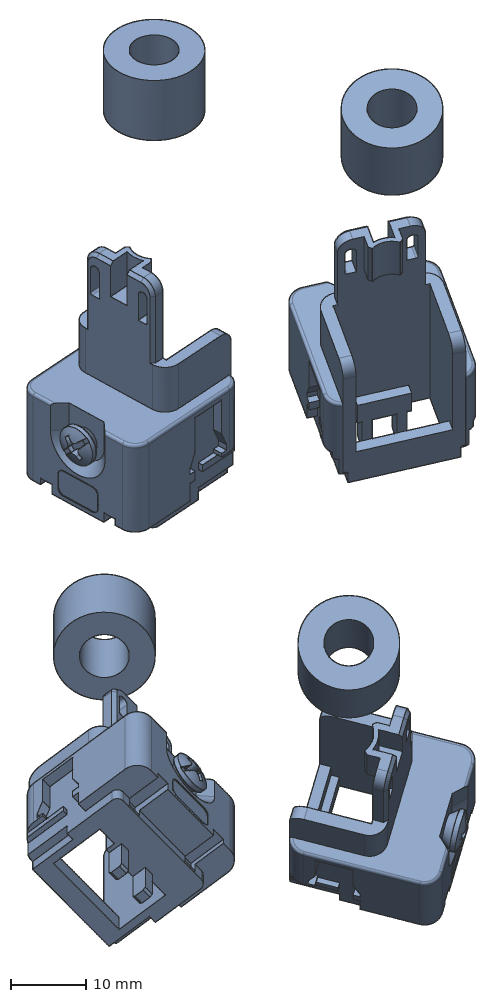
import cadquery as cq
import math


SLEEVE_RADIUS = 6.8
BORE_RADIUS = 3.3
SLEEVE_TOP = 75.25
SLEEVE_HEIGHT = 10.0

SHELL_WIDTH = 21.0
SHELL_FRONT = -15.1
BACK = 5.9
SHELL_BOTTOM = 7.9
SHELL_TOP = 22.35
CORNER_RADIUS = 2.5
TOP_ROUND = 0.45

BASE_WIDTH = 18.05
BASE_FRONT = -10.15
BASE_BOTTOM = 5.6
BASE_CORNER_RADIUS = 1.05

WINDOW_FRONT = -3.45
WINDOW_BACK = 1.8
WINDOW_TOP = 21.2
FLARE = 1.0
FLARE_START = 15.6
FLARE_END = 13.25
WINDOW_STEP = 12.35
SLOT_BOTTOM = 10.8
SIDE_REAR_BOTTOM = 11.75
RIB_FRONT = -1.2
RIB_BOTTOM = 10.6
RIB_HEIGHT = SIDE_REAR_BOTTOM - RIB_BOTTOM
RIB_PROTRUSION = 0.75
FOOT_RECESS_TOP = 7.6
FOOT_RECESS_DEPTH = 1.2

TAB_BOTTOM = 7.4
NOTCH_INNER = 4.7
NOTCH_OUTER = 6.7
NOTCH_TOP = 8.95
NOTCH_BOTTOM = 6.2
NOTCH_POCKET_DEPTH = 0.75
LABEL_WIDTH = 7.15
LABEL_BOTTOM = 8.05
LABEL_TOP = 12.2
LABEL_RADIUS = 1.0
LABEL_DEPTH = 0.15

GUARD_WIDTH = 17.0
GUARD_FRONT = -7.0
GUARD_TOP = 29.8
GUARD_CORNER_RADIUS = 2.5
GUARD_BACK_RADIUS = 2.0
CAVITY_WIDTH = 13.4
PLATE_THICKNESS = 2.0
CAVITY_FRONT = GUARD_FRONT + PLATE_THICKNESS
CAVITY_BACK = 3.15
REAR_STEP_FRONT = 4.3
REAR_STEP_HEIGHT = 3.0

PLATE_WIDTH = 12.2
PLATE_TOP = 43.0
PLATE_CORNER_RADIUS = 2.1
PLATE_CHAMFER = 0.5
OPENING_OFFSET = 4.3
OPENING_WIDTH = 1.6
OPENING_BOTTOM = 35.9
OPENING_TOP = 40.9
OPENING_TOP_RADIUS = 0.75
OPENING_FOOT_RADIUS = 0.3

SADDLE_WIDTH = 4.8
SADDLE_BACK = -2.7
SADDLE_CHAMFER = 0.45
SADDLE_BOTTOM = 36.0
GROOVE_WIDTH = 2.9
GROOVE_BOTTOM = 37.3
SADDLE_WALL = 0.7

SCREW_Z = 17.8
RECESS_RADIUS = 4.9
RECESS_DEPTH = 1.7
RECESS_FLOOR = SHELL_FRONT + RECESS_DEPTH
NECK_RADIUS = 1.9
UNDERHEAD_RADIUS = 2.8
HEAD_RADIUS = 2.9
HEAD_BACK = -14.7
HEAD_RIM = -15.4
DOME_HEIGHT = 0.75
CROSS_LENGTH = 3.6
CROSS_WIDTH = 0.8
CROSS_FILLET = 0.75
CROSS_DEPTH = 1.5
DRIVE_ANGLE = 45
SLOT_WIDTH = 0.7
SLOT_DEPTH = 0.8

PIN_OFFSET = 2.4
PIN_WIDTH = 1.4
PIN_FRONT = -5.7
PIN_BACK = -3.5
PIN_CHAMFER = 0.4
CARRIER_WIDTH = 7.5
CARRIER_HEIGHT = 3.8


def block(x_range, y_range, z_range):
    """Axis-aligned box between pairs of limits."""
    lengths = [end - start for start, end in (x_range, y_range, z_range)]
    corner = (x_range[0], y_range[0], z_range[0])
    return cq.Workplane("XY").box(*lengths, centered=False).translate(corner)


def centered_block(width, y_range, z_range):
    """Box that is symmetric about the YZ plane."""
    return block((-width / 2, width / 2), y_range, z_range)


def both_sides(solid):
    """A solid together with its mirror image across the YZ plane."""
    return solid.union(solid.mirror("YZ"))


def front_plane(y):
    """Sketch plane facing -Y, with local x along X and local y along Z."""
    return cq.Workplane("XZ", origin=(0, y, 0))


def make_sleeve():
    base = cq.Workplane("XY").workplane(offset=SLEEVE_TOP - SLEEVE_HEIGHT)
    return base.circle(SLEEVE_RADIUS).circle(BORE_RADIUS).extrude(SLEEVE_HEIGHT)


def shell_block(bottom, top):
    """Block with the shell's outline and rounded upright corners."""
    shell = centered_block(SHELL_WIDTH, (SHELL_FRONT, BACK), (bottom, top))
    return shell.edges("|Z").fillet(CORNER_RADIUS)


def make_shell():
    """Rounded block with a rounded top edge; the straight rear top edge stays sharp."""
    shell = shell_block(SHELL_BOTTOM, SHELL_TOP)
    shell = shell.faces(">Z").edges("not(>Y)").fillet(TOP_ROUND)
    tab = centered_block(2 * NOTCH_INNER, (SHELL_FRONT, BASE_FRONT), (TAB_BOTTOM, SHELL_BOTTOM))
    return shell.union(tab)


def side_cutout():
    """Bottle-shaped window and the open rear of one side, cut down to the base's side face."""
    low_front = WINDOW_FRONT - FLARE
    outline = [
        (WINDOW_FRONT, WINDOW_TOP),
        (WINDOW_BACK, WINDOW_TOP),
        (WINDOW_BACK, FLARE_START),
        (WINDOW_BACK + FLARE, FLARE_END),
        (WINDOW_BACK + FLARE, WINDOW_STEP),
        (WINDOW_BACK, WINDOW_STEP),
        (WINDOW_BACK, SIDE_REAR_BOTTOM),
        (BACK, SIDE_REAR_BOTTOM),
        (BACK, SHELL_BOTTOM),
        (low_front, SHELL_BOTTOM),
        (low_front, SLOT_BOTTOM),
        (WINDOW_FRONT, SLOT_BOTTOM),
        (WINDOW_FRONT, WINDOW_STEP),
        (low_front, WINDOW_STEP),
        (low_front, FLARE_END),
        (WINDOW_FRONT, FLARE_START),
    ]
    plane = cq.Workplane("YZ", origin=(BASE_WIDTH / 2, 0, 0))
    return plane.polyline(outline).close().extrude((SHELL_WIDTH - BASE_WIDTH) / 2)


def make_base():
    """Block within the shell's outline, with a rib and a recessed foot at the rear of each side."""
    base = centered_block(BASE_WIDTH, (BASE_FRONT, BACK), (BASE_BOTTOM, SIDE_REAR_BOTTOM))
    base = base.edges("|Z and <Y").fillet(BASE_CORNER_RADIUS)
    side = BASE_WIDTH / 2
    rear = (RIB_FRONT, BACK)
    rib = block((0, side + RIB_PROTRUSION), rear, (RIB_BOTTOM, RIB_BOTTOM + RIB_HEIGHT))
    foot = block((side - FOOT_RECESS_DEPTH, side), rear, (BASE_BOTTOM, FOOT_RECESS_TOP))
    base = base.union(both_sides(rib)).cut(both_sides(foot))
    return base.intersect(shell_block(BASE_BOTTOM, SIDE_REAR_BOTTOM))


def front_notches():
    """Notches under the front wall that run back into shallow pockets in the base."""
    x_range = (NOTCH_INNER, NOTCH_OUTER)
    y_range = (SHELL_FRONT, BASE_FRONT + NOTCH_POCKET_DEPTH)
    return both_sides(block(x_range, y_range, (NOTCH_BOTTOM, NOTCH_TOP)))


def label_field():
    plane = front_plane(SHELL_FRONT).center(0, (LABEL_BOTTOM + LABEL_TOP) / 2)
    field = plane.rect(LABEL_WIDTH, LABEL_TOP - LABEL_BOTTOM).extrude(-LABEL_DEPTH)
    return field.edges("|Y").fillet(LABEL_RADIUS)


def make_guard():
    """Wall around three sides of the cavity, with rounded front and rear-top corners."""
    guard = centered_block(GUARD_WIDTH, (GUARD_FRONT, BACK), (SHELL_BOTTOM, GUARD_TOP))
    guard = guard.edges("|Z and <Y").fillet(GUARD_CORNER_RADIUS)
    return guard.edges("|X and >Y and >Z").fillet(GUARD_BACK_RADIUS)


def cavity():
    """Shaft through the housing, open to the rear above the base, whose rear wall is stepped."""
    shaft = centered_block(CAVITY_WIDTH, (CAVITY_FRONT, CAVITY_BACK), (BASE_BOTTOM, GUARD_TOP))
    mouth = centered_block(CAVITY_WIDTH, (CAVITY_FRONT, BACK), (SIDE_REAR_BOTTOM, GUARD_TOP))
    step_bottom = SIDE_REAR_BOTTOM - REAR_STEP_HEIGHT
    step = centered_block(CAVITY_WIDTH, (CAVITY_FRONT, REAR_STEP_FRONT), (step_bottom, SIDE_REAR_BOTTOM))
    return shaft.union(mouth).union(step)


def make_plate():
    """Upright plate with rounded top corners and a chamfer around its front face."""
    y_range = (GUARD_FRONT, CAVITY_FRONT)
    plate = centered_block(PLATE_WIDTH, y_range, (GUARD_TOP, PLATE_TOP))
    plate = plate.edges("|Y and >Z").fillet(PLATE_CORNER_RADIUS)
    return plate.faces("<Y").edges("not(<Z)").chamfer(PLATE_CHAMFER)


def plate_openings():
    """Two upright openings through the plate, with rounded tops and outer lower corners."""
    height = OPENING_TOP - OPENING_BOTTOM
    plane = front_plane(CAVITY_FRONT).center(OPENING_OFFSET, (OPENING_BOTTOM + OPENING_TOP) / 2)
    opening = plane.rect(OPENING_WIDTH, height).extrude(PLATE_THICKNESS)
    opening = opening.edges("|Y and >Z").fillet(OPENING_TOP_RADIUS)
    return both_sides(opening.edges("|Y and >X and <Z").fillet(OPENING_FOOT_RADIUS))


def make_saddle():
    """Boss behind the plate, hollowed at the back to the radius of the sleeve's bore."""
    saddle = centered_block(SADDLE_WIDTH, (CAVITY_FRONT, SADDLE_BACK), (SADDLE_BOTTOM, PLATE_TOP))
    saddle = saddle.edges("|Z and >Y").chamfer(SADDLE_CHAMFER)
    seat = cq.Workplane("XY").workplane(offset=SADDLE_BOTTOM).circle(BORE_RADIUS)
    return saddle.cut(seat.extrude(PLATE_TOP - SADDLE_BOTTOM))


def saddle_groove():
    """Groove open to the front and top, ending at a wall that follows the saddle's hollow."""
    height = PLATE_TOP - GROOVE_BOTTOM
    groove = centered_block(GROOVE_WIDTH, (GUARD_FRONT, SADDLE_BACK), (GROOVE_BOTTOM, PLATE_TOP))
    wall = cq.Workplane("XY").workplane(offset=GROOVE_BOTTOM).circle(BORE_RADIUS + SADDLE_WALL)
    return groove.cut(wall.extrude(height))


def screw_recess():
    """Recess with 45-degree walls: a cone around the screw axis and a channel above it."""
    wall = [(RECESS_RADIUS, SHELL_FRONT), (RECESS_RADIUS - RECESS_DEPTH, RECESS_FLOOR)]
    profile = [(0, SHELL_FRONT), *wall, (0, RECESS_FLOOR)]
    cone = cq.Workplane("XY").polyline(profile).close().revolve(360, (0, 0), (0, 1))
    section = wall + [(-x, y) for x, y in reversed(wall)]
    channel = cq.Workplane("XY").polyline(section).close().extrude(SHELL_TOP - SCREW_Z)
    return cone.union(channel).translate((0, 0, SCREW_Z))


def screw_drive(tip):
    """Cross recess with rounded inner corners and a straight slot, turned about the screw axis."""
    plane = front_plane(tip)
    bar = plane.rect(CROSS_LENGTH, CROSS_WIDTH).extrude(-CROSS_DEPTH)
    cross = bar.union(plane.rect(CROSS_WIDTH, CROSS_LENGTH).extrude(-CROSS_DEPTH))
    reach = CROSS_LENGTH / 4
    center_box = cq.selectors.BoxSelector(
        (-reach, tip, -reach),
        (reach, tip + CROSS_DEPTH, reach),
    )
    cross = cross.edges("|Y").edges(center_box).fillet(CROSS_FILLET)
    slot = plane.rect(2 * HEAD_RADIUS, SLOT_WIDTH).extrude(-SLOT_DEPTH)
    return cross.union(slot).rotate((0, 0, 0), (0, 1, 0), -DRIVE_ANGLE)


def make_screw_head():
    """Countersunk neck, short rim and domed top, with a cross recess and a straight slot."""
    tip = HEAD_RIM - DOME_HEIGHT
    dome_radius = (HEAD_RADIUS**2 + DOME_HEIGHT**2) / (2 * DOME_HEIGHT)
    half_angle = math.asin(HEAD_RADIUS / dome_radius) / 2
    mid_point = (dome_radius * math.sin(half_angle), tip + dome_radius * (1 - math.cos(half_angle)))
    head = (
        cq.Workplane("XY")
        .moveTo(0, RECESS_FLOOR)
        .lineTo(NECK_RADIUS, RECESS_FLOOR)
        .lineTo(UNDERHEAD_RADIUS, HEAD_BACK)
        .lineTo(HEAD_RADIUS, HEAD_BACK)
        .lineTo(HEAD_RADIUS, HEAD_RIM)
        .threePointArc(mid_point, (0, tip))
        .close()
        .revolve(360, (0, 0), (0, 1))
    )
    return head.cut(screw_drive(tip)).translate((0, 0, SCREW_Z))


def make_pins():
    """Two flat contact pins on a carrier at the front of the cavity."""
    half = PIN_WIDTH / 2
    x_range = (PIN_OFFSET - half, PIN_OFFSET + half)
    pin = block(x_range, (PIN_FRONT, PIN_BACK), (0, BASE_BOTTOM))
    pin = pin.faces("<Z").edges("|X").chamfer(PIN_CHAMFER)
    carrier_top = BASE_BOTTOM + CARRIER_HEIGHT
    carrier = centered_block(CARRIER_WIDTH, (PIN_FRONT, PIN_BACK), (BASE_BOTTOM, carrier_top))
    return both_sides(pin).union(carrier)


def make_housing():
    housing = make_shell().cut(both_sides(side_cutout())).union(make_base())
    housing = housing.cut(front_notches()).cut(label_field())
    housing = housing.union(make_guard()).cut(cavity())
    housing = housing.union(make_plate()).cut(plate_openings())
    housing = housing.union(make_saddle()).cut(saddle_groove())
    housing = housing.cut(screw_recess()).union(make_screw_head())
    return housing.union(make_pins())


sleeve = make_sleeve()
housing = make_housing()

result = cq.Compound.makeCompound([sleeve.val(), *housing.vals()])